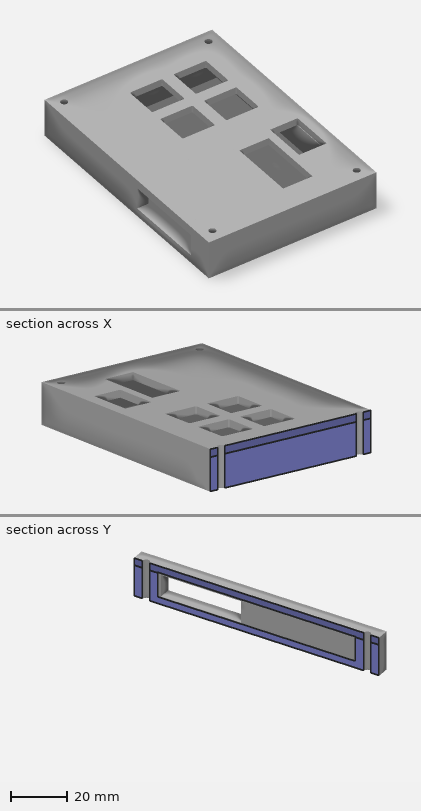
import cadquery as cq

LENGTH = 102.4
WIDTH = 72.5
HEIGHT = 16.0
LID_THICKNESS = 3.0
BASE_HEIGHT = HEIGHT - LID_THICKNESS

FLOOR_THICKNESS = 3.0
END_WALL = 10.0
SIDE_WALL = 5.0

SCREW_DIAMETER = 2.9
SCREW_INSET = 5.0

WINDOW_LEFT = 57.7
WINDOW_LENGTH = 33.6
WINDOW_BOTTOM = 3.4
WINDOW_HEIGHT = 9.0

KEY_SIZE = 14.0
KEY_PITCH = 18.9
KEY_LEFT = 13.8
KEY_FRONT = 27.2
KEY_CORNER_RADIUS = 0.5
KEYS_PER_SIDE = 2

SMALL_LEFT = 60.2
SMALL_FRONT = 55.8
SMALL_LENGTH = 18.0
SMALL_WIDTH = 11.9
LARGE_LEFT = 64.0
LARGE_FRONT = 39.8
LARGE_LENGTH = 27.3
LARGE_WIDTH = 12.7


def block(left, front, bottom, length, width, height):
    """Box placed by its front-left bottom corner."""
    return cq.Workplane("XY").box(length, width, height, centered=False).translate((left, front, bottom))


def screw_holes():
    """Four vertical cutters that reach through the whole case."""
    corners = [
        (x, y)
        for x in (SCREW_INSET, LENGTH - SCREW_INSET)
        for y in (SCREW_INSET, WIDTH - SCREW_INSET)
    ]
    return cq.Workplane("XY").pushPoints(corners).circle(SCREW_DIAMETER / 2).extrude(HEIGHT)


def make_base():
    """Open-topped tray with a window in its front wall."""
    tray = block(0, 0, 0, LENGTH, WIDTH, BASE_HEIGHT)
    cavity = block(
        END_WALL,
        SIDE_WALL,
        FLOOR_THICKNESS,
        LENGTH - 2 * END_WALL,
        WIDTH - 2 * SIDE_WALL,
        BASE_HEIGHT - FLOOR_THICKNESS,
    )
    window = block(WINDOW_LEFT, 0, WINDOW_BOTTOM, WINDOW_LENGTH, SIDE_WALL, WINDOW_HEIGHT)
    return tray.cut(cavity).cut(window).cut(screw_holes())


def lid_opening(left, front, length, width):
    """Cutter through the full thickness of the lid."""
    return block(left, front, BASE_HEIGHT, length, width, LID_THICKNESS)


def make_lid():
    """Flat plate with key openings and two rectangular openings."""
    plate = block(0, 0, BASE_HEIGHT, LENGTH, WIDTH, LID_THICKNESS)
    for column in range(KEYS_PER_SIDE):
        for row in range(KEYS_PER_SIDE):
            left = KEY_LEFT + column * KEY_PITCH
            front = KEY_FRONT + row * KEY_PITCH
            key = lid_opening(left, front, KEY_SIZE, KEY_SIZE)
            plate = plate.cut(key.edges("|Z").fillet(KEY_CORNER_RADIUS))
    plate = plate.cut(lid_opening(SMALL_LEFT, SMALL_FRONT, SMALL_LENGTH, SMALL_WIDTH))
    plate = plate.cut(lid_opening(LARGE_LEFT, LARGE_FRONT, LARGE_LENGTH, LARGE_WIDTH))
    return plate.cut(screw_holes())


base = make_base()
lid = make_lid()

result = cq.Compound.makeCompound([base.val(), lid.val()])